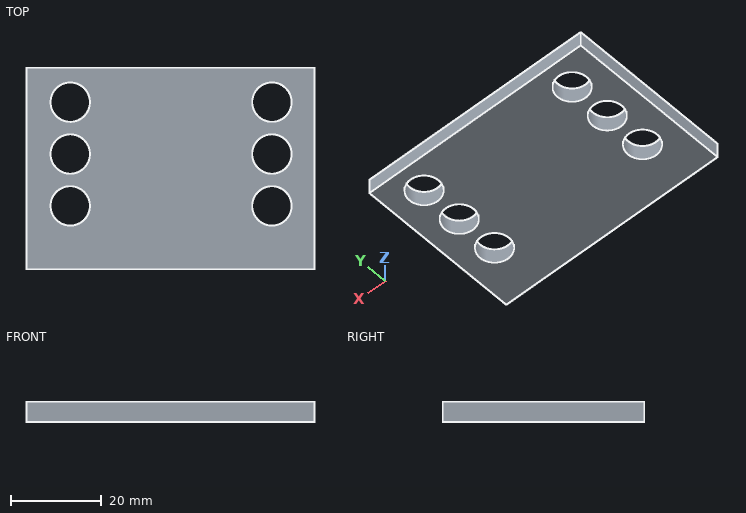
import cadquery as cq

length = 63.5
width = 44.45
thickness = 4.5

hole_diameter = 8.65
hole_pitch = 11.4
holes_per_column = 3
left_column_inset = 9.65
column_spacing = 44.45
top_hole_inset = 7.6

left_column_x = -length / 2 + left_column_inset
top_hole_y = width / 2 - top_hole_inset
hole_centres = [
    (column_x, top_hole_y - row * hole_pitch)
    for column_x in (left_column_x, left_column_x + column_spacing)
    for row in range(holes_per_column)
]

plate = cq.Workplane("XY").box(length, width, thickness)
result = plate.faces(">Z").workplane().pushPoints(hole_centres).hole(hole_diameter)